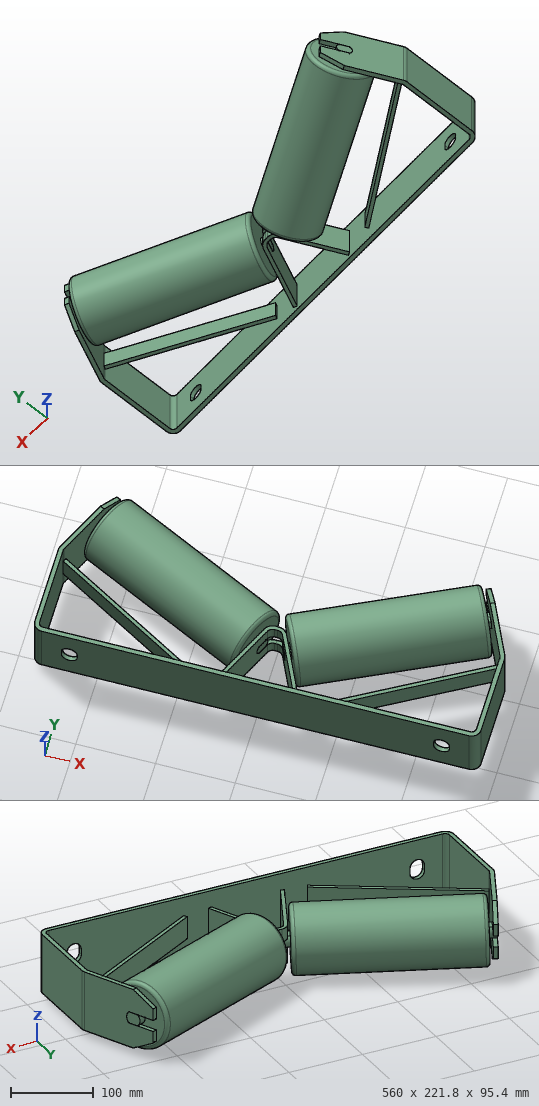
import cadquery as cq
import math

THICKNESS = 6.0
LIGHT_THICKNESS = 5.0
BEND_INNER = THICKNESS
BEND_OUTER = BEND_INNER + THICKNESS

FRAME_LENGTH = 560.0
FRAME_HEIGHT = 80.0
BEND_Y = 118.0
LEAN = math.radians(25)
CHEEK_LENGTH = 107.0
CHEEK_CUT_ALONG = 30.0
CHEEK_CUT_DEEP = 17.0
MOUNT_SLOT_X = 233.5
MOUNT_SLOT_WIDTH = 19.5
MOUNT_SLOT_HEIGHT = 26.5

ROLLER_TILT = math.radians(1.6)
ROLLER_DIAMETER = 89.0
ROLLER_LENGTH = 239.5
ROLLER_ROUND = 5.0
OUTER_GAP = 4.5
INNER_GAP = 3.5
SHAFT_DIAMETER = 20.0
SHAFT_FLATS = 15.0
SHAFT_Y = 187.5

BRACKET_HEIGHT = 50.5
BRACKET_TOP_Y = 96.5
BRACKET_BEND_INNER = 8.5

STRUT_SLOPE = math.radians(30)
STRUT_HEIGHT = 30.0

HALF_LENGTH = FRAME_LENGTH / 2
WALL_X = HALF_LENGTH - THICKNESS
LEAN_MITRE = THICKNESS * math.tan(LEAN / 2)
SHELL_START = THICKNESS + OUTER_GAP
SHAFT_LENGTH = SHELL_START + ROLLER_LENGTH + INNER_GAP + LIGHT_THICKNESS
SHAFT_X = HALF_LENGTH - (SHAFT_Y - BEND_Y) * math.tan(LEAN)

CHEEK_NORMAL = (math.cos(LEAN), -math.sin(LEAN), 0)

SHAFT_PLANE = cq.Plane(
    origin=(-SHAFT_X, SHAFT_Y, 0),
    xDir=(math.sin(LEAN), math.cos(LEAN), 0),
    normal=(
        CHEEK_NORMAL[0] * math.cos(ROLLER_TILT),
        CHEEK_NORMAL[1] * math.cos(ROLLER_TILT),
        -math.sin(ROLLER_TILT),
    ),
)


def both_sides(left_body):
    """The left-hand shape and its mirror image on the right."""
    return [left_body, left_body.mirror("YZ")]


def plate(outline, height):
    """Extrude a closed outline in XY, centred on Z = 0."""
    return cq.Workplane("XY").polyline(outline).close().extrude(height / 2, both=True)


def mirrored_outline(outer_left, inner_left):
    """Closed symmetric strip: left outer face, right outer face, then back inside."""
    outer_right = [(-x, y) for x, y in reversed(outer_left)]
    inner_right = [(-x, y) for x, y in inner_left]
    return outer_left + outer_right + inner_right + inner_left[::-1]


def round_bends(body, points, radius):
    """Round the upright edges standing at the given left points and their mirrors."""
    for x, y in points:
        for side in (-1, 1):
            body = body.edges(cq.selectors.NearestToPointSelector((side * x, y, 0))).fillet(radius)
    return body


def flatted_shaft(start, end):
    """Shaft bar along its own axis with two flats facing up and down."""
    section = cq.Workplane(SHAFT_PLANE).workplane(offset=start)
    bar = section.circle(SHAFT_DIAMETER / 2).extrude(end - start)
    flats = section.rect(SHAFT_DIAMETER, SHAFT_FLATS).extrude(end - start)
    return bar.intersect(flats)


def make_roller():
    shell = (
        cq.Workplane(SHAFT_PLANE)
        .workplane(offset=SHELL_START)
        .circle(ROLLER_DIAMETER / 2)
        .extrude(ROLLER_LENGTH)
        .edges()
        .fillet(ROLLER_ROUND)
    )
    return shell.union(flatted_shaft(0, SHAFT_LENGTH))


def make_drop_slot(start, end, rise):
    """Slot between two stations along the shaft: round seat below, open upward along the cheek."""
    channel = (
        cq.Workplane(SHAFT_PLANE)
        .workplane(offset=start)
        .center(rise / 2, 0)
        .rect(rise, SHAFT_FLATS)
        .extrude(end - start)
    )
    return channel.union(flatted_shaft(start, end))


def make_cheek_cuts():
    """Open shaft slot and the two sloping corner cuts at the tip of the left cheek."""
    to_tip = CHEEK_LENGTH - (SHAFT_Y - BEND_Y) / math.cos(LEAN)
    reach = 2 * SHELL_START
    cuts = make_drop_slot(-OUTER_GAP, SHELL_START, 2 * to_tip)
    cheek_plane = cq.Plane(SHAFT_PLANE.origin, SHAFT_PLANE.xDir, CHEEK_NORMAL)
    for side in (-1, 1):
        edge = side * FRAME_HEIGHT / 2
        corner = (
            cq.Workplane(cheek_plane)
            .workplane(offset=-OUTER_GAP)
            .polyline([
                (to_tip, edge),
                (to_tip - CHEEK_CUT_ALONG, edge),
                (to_tip, edge - side * CHEEK_CUT_DEEP),
            ])
            .close()
            .extrude(reach)
        )
        cuts = cuts.union(corner)
    return cuts


def make_frame():
    tip_x = -HALF_LENGTH + CHEEK_LENGTH * math.sin(LEAN)
    tip_y = BEND_Y + CHEEK_LENGTH * math.cos(LEAN)
    inner_tip = (tip_x + THICKNESS * math.cos(LEAN), tip_y - THICKNESS * math.sin(LEAN))
    outer = [(tip_x, tip_y), (-HALF_LENGTH, BEND_Y), (-HALF_LENGTH, 0)]
    inner = [inner_tip, (-WALL_X, BEND_Y - LEAN_MITRE), (-WALL_X, THICKNESS)]
    frame = plate(mirrored_outline(outer, inner), FRAME_HEIGHT)
    frame = round_bends(frame, outer[1:], BEND_OUTER)
    frame = round_bends(frame, inner[1:], BEND_INNER)

    mount_slots = (
        cq.Workplane("XZ")
        .pushPoints([(-MOUNT_SLOT_X, 0), (MOUNT_SLOT_X, 0)])
        .slot2D(MOUNT_SLOT_HEIGHT, MOUNT_SLOT_WIDTH, 90)
        .extrude(-2 * THICKNESS)
    )
    frame = frame.cut(mount_slots)
    for cuts in both_sides(make_cheek_cuts()):
        frame = frame.cut(cuts)
    return frame


def make_bracket():
    end_x = -SHAFT_X + SHAFT_LENGTH * math.cos(LEAN)
    end_y = SHAFT_Y - SHAFT_LENGTH * math.sin(LEAN)
    end_z = -SHAFT_LENGTH * math.sin(ROLLER_TILT)

    def inner_x(y):
        return end_x + (y - end_y) * math.tan(LEAN)

    foot = (inner_x(THICKNESS), THICKNESS)
    outer_foot = (foot[0] - LIGHT_THICKNESS * math.cos(LEAN), foot[1] + LIGHT_THICKNESS * math.sin(LEAN))
    inner_top_y = BRACKET_TOP_Y - LIGHT_THICKNESS
    outer_shift = LIGHT_THICKNESS / math.cos(LEAN)
    outer = [outer_foot, (inner_x(BRACKET_TOP_Y) - outer_shift, BRACKET_TOP_Y)]
    inner = [foot, (inner_x(inner_top_y), inner_top_y)]
    bracket = plate(mirrored_outline(outer, inner), BRACKET_HEIGHT)
    bracket = round_bends(bracket, outer[1:], BRACKET_BEND_INNER + LIGHT_THICKNESS)
    bracket = round_bends(bracket, inner[1:], BRACKET_BEND_INNER)
    bracket = bracket.translate((0, 0, end_z))

    left_half = cq.Workplane("XY").center(-HALF_LENGTH / 2, 0).box(HALF_LENGTH, FRAME_LENGTH, FRAME_LENGTH)
    slot_start = SHELL_START + ROLLER_LENGTH
    slot_end = SHAFT_LENGTH + 2 * LIGHT_THICKNESS
    slot = make_drop_slot(slot_start, slot_end, BRACKET_TOP_Y).intersect(left_half)
    for side_slot in both_sides(slot):
        bracket = bracket.cut(side_slot)
    return bracket


def make_strut():
    top = (-WALL_X, BEND_Y - LEAN_MITRE - BEND_INNER * math.tan(LEAN / 2))
    foot = (-WALL_X + (top[1] - THICKNESS) / math.tan(STRUT_SLOPE), THICKNESS)
    across = (LIGHT_THICKNESS * math.sin(STRUT_SLOPE), LIGHT_THICKNESS * math.cos(STRUT_SLOPE))
    outline = [top, foot]
    outline += [(x + across[0], y + across[1]) for x, y in (foot, top)]
    return plate(outline, STRUT_HEIGHT)


frame = make_frame()
bracket = make_bracket()
rollers = both_sides(make_roller())
struts = both_sides(make_strut())

result = cq.Compound.makeCompound([
    frame.val(),
    bracket.val(),
    *[roller.val() for roller in rollers],
    *[strut.val() for strut in struts],
])